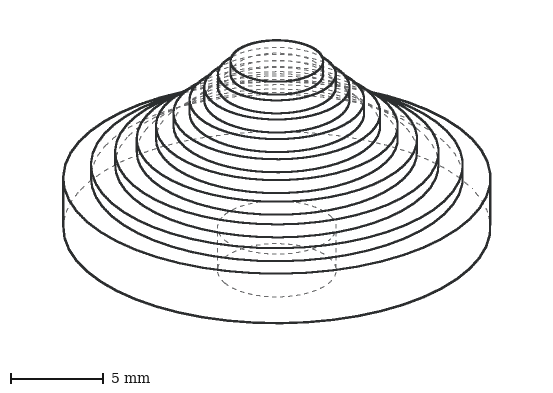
import cadquery as cq

base_diameter = 23.0
base_height = 3.0
stem_diameter = 6.4
stem_length = 2.58
step_height = 0.78
step_diameters = [20.0, 17.4, 15.09, 13.02, 11.13, 9.4, 7.82, 6.35, 5.0]

base_bottom = 0.0
base_top = base_bottom + base_height


def disc(diameter, height, bottom):
    """Upright cylinder on the Z axis, starting at the given height."""
    return cq.Workplane("XY").workplane(offset=bottom).circle(diameter / 2).extrude(height)


base = disc(base_diameter, base_height, base_bottom)
stem = disc(stem_diameter, stem_length, base_bottom - stem_length)
result = base.union(stem)

for level, diameter in enumerate(step_diameters):
    step_bottom = base_top + level * step_height
    result = result.union(disc(diameter, step_height, step_bottom))